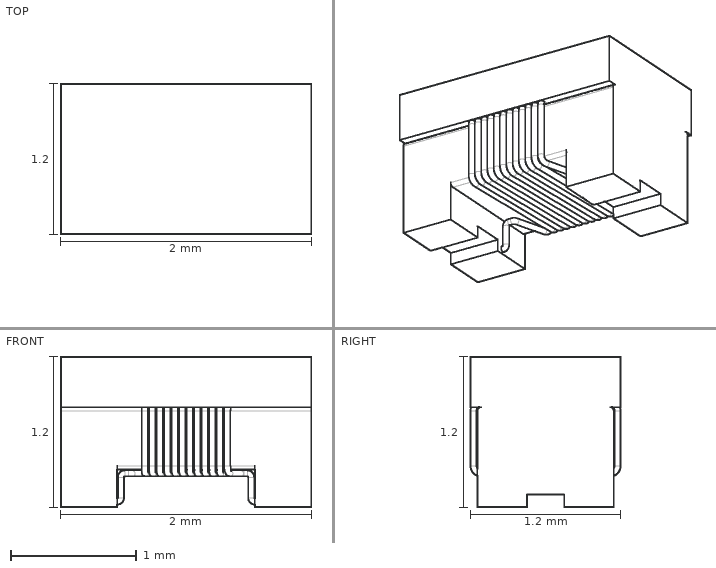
import cadquery as cq
import math

LENGTH = 2.0
WIDTH = 1.2
HEIGHT = 1.2

CAP_THICKNESS = 0.4
CORE_WIDTH = 1.09
CORE_TOP = HEIGHT - CAP_THICKNESS
CORE_EDGE_RADIUS = 0.03
FOOT_LENGTH = 0.45
FOOT_GAP = LENGTH - 2 * FOOT_LENGTH
FOOT_HEIGHT = 0.3
FOOT_SLOT_WIDTH = 0.295
FOOT_SLOT_DEPTH = 0.1

WIRE_DIAMETER = 0.05
WIRE_RADIUS = WIRE_DIAMETER / 2
TURNS = 12
TURN_PITCH = 0.06
WIRE_Y = WIDTH / 2 - WIRE_RADIUS
WIRE_CLEARANCE = WIRE_Y - WIRE_RADIUS - CORE_WIDTH / 2
WIRE_OFFSET = WIRE_CLEARANCE + WIRE_RADIUS
WIRE_BOTTOM = FOOT_HEIGHT - WIRE_OFFSET
WIRE_TOP = CORE_TOP + WIRE_OFFSET
TURN_BEND = CORE_EDGE_RADIUS + WIRE_OFFSET

TAIL_BEND = 0.03
TAIL_Y = 0.22
TAIL_KNEE_X = 0.44
TAIL_DROP_X = FOOT_GAP / 2 - WIRE_OFFSET
TAIL_END_X = FOOT_GAP / 2 + WIRE_DIAMETER
TAIL_END_Z = 0.045


def make_core():
    """Core bar with rounded long edges, joined to two slotted feet."""
    bar = (
        cq.Workplane("XY")
        .box(LENGTH, CORE_WIDTH, CORE_TOP - FOOT_HEIGHT, centered=(True, True, False))
        .translate((0, 0, FOOT_HEIGHT))
        .edges("|X")
        .fillet(CORE_EDGE_RADIUS)
    )
    foot_top = (CORE_TOP + FOOT_HEIGHT) / 2
    foot_x = (LENGTH - FOOT_LENGTH) / 2
    feet = (
        cq.Workplane("XY")
        .pushPoints([(-foot_x, 0), (foot_x, 0)])
        .rect(FOOT_LENGTH, CORE_WIDTH)
        .extrude(foot_top)
    )
    slot = cq.Workplane("XY").rect(LENGTH, FOOT_SLOT_WIDTH).extrude(FOOT_SLOT_DEPTH)
    return bar.union(feet).cut(slot)


def make_cap():
    """Flat cap resting on the core and overhanging its long sides."""
    return cq.Workplane("XY").workplane(offset=CORE_TOP).rect(LENGTH, WIDTH).extrude(CAP_THICKNESS)


def winding_corners():
    """Corner points and bend radii of the wire centreline, from the -X end to the +X end."""
    first_x = -TURN_PITCH * (TURNS - 1) / 2
    tail = [
        ((TAIL_KNEE_X, -TAIL_Y, WIRE_BOTTOM), TAIL_BEND),
        ((TAIL_DROP_X, -TAIL_Y, WIRE_BOTTOM), TAIL_BEND),
        ((TAIL_DROP_X, -TAIL_Y, TAIL_END_Z), TAIL_BEND),
        ((TAIL_END_X, -TAIL_Y, TAIL_END_Z), 0),
    ]
    corners = [((-x, -y, z), bend) for (x, y, z), bend in reversed(tail)]
    for turn in range(TURNS):
        x = first_x + turn * TURN_PITCH
        loop = [
            (x, WIRE_Y, WIRE_BOTTOM),
            (x, WIRE_Y, WIRE_TOP),
            (x, -WIRE_Y, WIRE_TOP),
            (x, -WIRE_Y, WIRE_BOTTOM),
        ]
        corners += [(point, TURN_BEND) for point in loop]
    return corners + tail


def rounded_path(corners):
    """Straight runs joined by tangent arcs at every inner corner."""
    points = [cq.Vector(*point) for point, _ in corners]
    edges = []
    start = points[0]
    for index in range(1, len(points) - 1):
        corner = points[index]
        bend = corners[index][1]
        incoming = (corner - points[index - 1]).normalized()
        outgoing = (points[index + 1] - corner).normalized()
        half_angle = incoming.getAngle(outgoing) / 2
        setback = bend * math.tan(half_angle)
        arc_start = corner - incoming * setback
        arc_end = corner + outgoing * setback
        inward = (outgoing - incoming).normalized()
        arc_middle = corner + inward * (bend / math.cos(half_angle) - bend)
        edges.append(cq.Edge.makeLine(start, arc_start))
        edges.append(cq.Edge.makeThreePointArc(arc_start, arc_middle, arc_end))
        start = arc_end
    edges.append(cq.Edge.makeLine(start, points[-1]))
    return cq.Wire.assembleEdges(edges)


def make_winding():
    """One continuous round wire swept along the coil and both tails."""
    path = rounded_path(winding_corners())
    start_plane = cq.Plane(origin=path.startPoint(), normal=path.tangentAt(0))
    return cq.Workplane(start_plane).circle(WIRE_RADIUS).sweep(cq.Workplane(path))


result = make_core().union(make_cap()).union(make_winding())